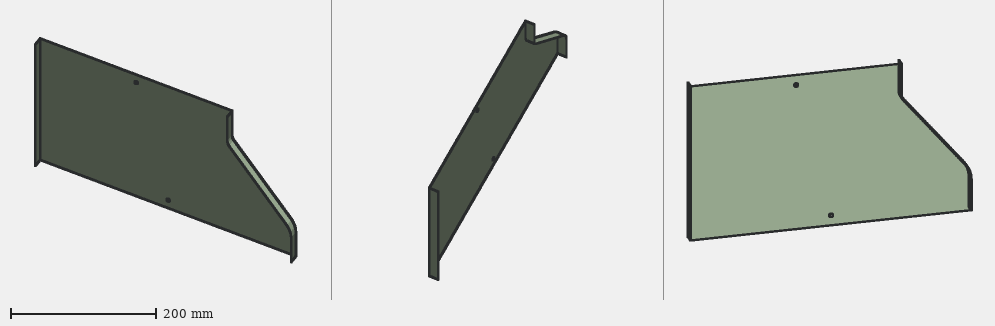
import cadquery as cq

sheet = 0.8
panel_height = 230.0
bottom_width = 402.0
top_width = 302.0
flange_depth = 14.0
lower_corner_z = 58.5
upper_corner_z = 178.5
lower_bend_radius = 35.0
upper_bend_radius = 15.0
hole_diameter = 5.0
hole_edge_distance = 15.0

left_inside = sheet
lower_right_inside = bottom_width - sheet
upper_right_inside = top_width - sheet

hole_centers = [
    (bottom_width / 2, hole_edge_distance),
    (top_width / 2, panel_height - hole_edge_distance),
]


def round_bend(block, x, z, radius):
    """Fillet the edge parallel to Y that passes through (x, z)."""
    nearest = cq.selectors.NearestToPointSelector((x, -flange_depth / 2, z))
    return block.edges("|Y").edges(nearest).fillet(radius)


def inner_block():
    """Full-depth block whose sides are the inside faces of the flanges."""
    corners = [
        (left_inside, 0),
        (lower_right_inside, 0),
        (lower_right_inside, lower_corner_z),
        (upper_right_inside, upper_corner_z),
        (upper_right_inside, panel_height),
        (left_inside, panel_height),
    ]
    block = cq.Workplane("XZ").polyline(corners).close().extrude(flange_depth)
    block = round_bend(block, lower_right_inside, lower_corner_z, lower_bend_radius)
    return round_bend(block, upper_right_inside, upper_corner_z, upper_bend_radius)


def outer_block(inner):
    """The inner block grown by one sheet thickness, with the open upper and lower edges trimmed flush."""
    outline = inner.faces(">Y").wires().val().offset2D(sheet, "intersection")
    grown = cq.Workplane("XZ").add(outline).toPending().extrude(flange_depth)
    envelope = cq.Workplane("XZ").rect(bottom_width, panel_height, centered=False).extrude(flange_depth)
    return grown.intersect(envelope)


def drill_holes(body):
    """Round holes through the back panel."""
    drills = cq.Workplane("XZ").pushPoints(hole_centers).circle(hole_diameter / 2).extrude(sheet)
    return body.cut(drills)


inside = inner_block()
pocket = inside.translate((0, -sheet, 0))
tray = outer_block(inside).cut(pocket)
result = drill_holes(tray)